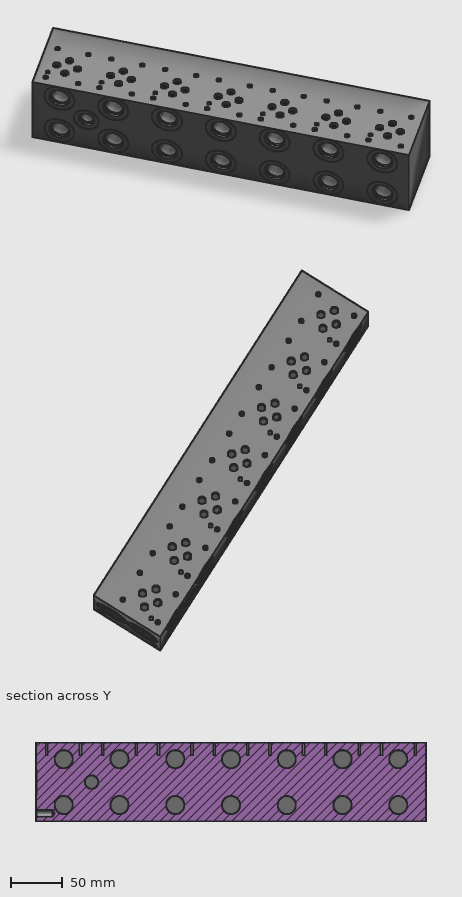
import cadquery as cq
import math

LENGTH = 377.82
WIDTH = 76.2
HEIGHT = 76.2

STATION_COUNT = 7
STATION_PITCH = 53.975
FIRST_STATION_X = (LENGTH - (STATION_COUNT - 1) * STATION_PITCH) / 2
STATION_XS = [FIRST_STATION_X + i * STATION_PITCH for i in range(STATION_COUNT)]

SPOTFACE_DEPTH = 0.76
SEAT_DEPTH = 2.2
SEAT_HALF_ANGLE = 12.0
WORK_PORT = {"spotface": 30.25, "seat": 20.65, "bore": 17.33, "depth": 18.3}
GAUGE_PORT = {"spotface": 25.02, "seat": 15.7, "bore": 12.76, "depth": 15.0}
SUPPLY_PORT = {"spotface": 34.42, "seat": 23.98, "bore": 20.26, "depth": 30.0}

WORK_PORT_EDGE = 15.875
GAUGE_X = FIRST_STATION_X + STATION_PITCH / 2
SUPPLY_EDGE = 20.32

MOUNT_EDGE = 7.94
MOUNT_HOLE = 6.41
MOUNT_MOUTH = 7.9
MOUNT_DEPTH = 16.0
DRILL_POINT_ANGLE = 118.0

FLOW_HOLE = 7.49
FLOW_HOLE_DEPTH = 7.7
FLOW_CENTRE_Y = 28.575
PATTERN_SHIFT_X = 0.15
REAR_FLOW_OFFSET_Y = 8.8
FRONT_FLOW_OFFSET_Y = 8.7
SIDE_FLOW_OFFSET_X = 10.4

BOLT_HOLE = 3.68
BOLT_MOUTH = 4.9
BOLT_DEPTH = 12.0
REAR_BOLT_OFFSET_Y = 21.5
BOLT_ROW_SPACING = 40.5
FRONT_BOLT_SPACING = 32.5
REAR_BOLT_SPACING = 31.0

PIN_HOLE = 4.01
PIN_DEPTH = 4.0
PIN_TO_BOLT_Y = 7.5


def revolved_cutter(profile):
    """Turn a (radius, height) outline about the Z axis."""
    return cq.Workplane("XZ").polyline(profile).close().revolve(360, (0, 0), (0, 1))


def drilled_hole(diameter, depth, mouth=None, point_angle=None):
    """Blind hole cutter going down from the origin, with an optional 45 degree mouth and drill point."""
    radius = diameter / 2
    profile = [(0, 0)]
    if mouth:
        mouth_radius = mouth / 2
        profile += [(mouth_radius, 0), (radius, radius - mouth_radius)]
    else:
        profile.append((radius, 0))
    profile.append((radius, -depth))
    point_length = radius / math.tan(math.radians(point_angle / 2)) if point_angle else 0
    profile.append((0, -depth - point_length))
    return revolved_cutter(profile)


def port_cutter(port):
    """Threaded port cutter going down from the origin."""
    bore_radius = port["bore"] / 2
    seat_radius = port["seat"] / 2
    spotface_radius = port["spotface"] / 2
    seat_bottom_radius = seat_radius - SEAT_DEPTH * math.tan(math.radians(SEAT_HALF_ANGLE))
    seat_bottom = SPOTFACE_DEPTH + SEAT_DEPTH
    lead_in_bottom = seat_bottom + seat_bottom_radius - bore_radius
    profile = [
        (0, 0),
        (spotface_radius, 0),
        (spotface_radius, -SPOTFACE_DEPTH),
        (seat_radius, -SPOTFACE_DEPTH),
        (seat_bottom_radius, -seat_bottom),
        (bore_radius, -lead_in_bottom),
        (bore_radius, -port["depth"]),
        (0, -port["depth"]),
    ]
    return revolved_cutter(profile)


def on_front(cutter, x, z):
    """Place a downward cutter so that it enters the -Y face."""
    return cutter.rotate((0, 0, 0), (1, 0, 0), 90).translate((x, 0, z))


def on_left_end(cutter, y, z):
    """Place a downward cutter so that it enters the -X face."""
    return cutter.rotate((0, 0, 0), (0, 1, 0), -90).translate((0, y, z))


def on_top(cutter, x, y):
    """Place a downward cutter so that it enters the top face."""
    return cutter.translate((x, y, HEIGHT))


def front_port_cutters():
    work = port_cutter(WORK_PORT)
    cutters = [on_front(port_cutter(GAUGE_PORT), GAUGE_X, HEIGHT / 2)]
    for x in STATION_XS:
        for z in (WORK_PORT_EDGE, HEIGHT - WORK_PORT_EDGE):
            cutters.append(on_front(work, x, z))
    return cutters


def left_end_cutters():
    supply = port_cutter(SUPPLY_PORT)
    mount = drilled_hole(MOUNT_HOLE, MOUNT_DEPTH, MOUNT_MOUTH, DRILL_POINT_ANGLE)
    cutters = []
    for y in (SUPPLY_EDGE, WIDTH - SUPPLY_EDGE):
        cutters.append(on_left_end(supply, y, HEIGHT / 2))
    for y in (MOUNT_EDGE, WIDTH - MOUNT_EDGE):
        cutters.append(on_left_end(mount, y, MOUNT_EDGE))
    return cutters


def station_cutters(x):
    flow = drilled_hole(FLOW_HOLE, FLOW_HOLE_DEPTH)
    bolt = drilled_hole(BOLT_HOLE, BOLT_DEPTH, BOLT_MOUTH)
    pin = drilled_hole(PIN_HOLE, PIN_DEPTH)
    rear_bolt_y = FLOW_CENTRE_Y + REAR_BOLT_OFFSET_Y
    front_bolt_y = rear_bolt_y - BOLT_ROW_SPACING
    front_left_x = x - FRONT_BOLT_SPACING / 2
    flow_x = x + PATTERN_SHIFT_X

    flow_points = [
        (flow_x - SIDE_FLOW_OFFSET_X, FLOW_CENTRE_Y),
        (flow_x + SIDE_FLOW_OFFSET_X, FLOW_CENTRE_Y),
        (flow_x, FLOW_CENTRE_Y + REAR_FLOW_OFFSET_Y),
        (flow_x, FLOW_CENTRE_Y - FRONT_FLOW_OFFSET_Y),
    ]
    bolt_points = [
        (flow_x - REAR_BOLT_SPACING / 2, rear_bolt_y),
        (flow_x + REAR_BOLT_SPACING / 2, rear_bolt_y),
        (front_left_x, front_bolt_y),
        (x + FRONT_BOLT_SPACING / 2, front_bolt_y),
    ]
    cutters = [on_top(flow, *point) for point in flow_points]
    cutters += [on_top(bolt, *point) for point in bolt_points]
    cutters.append(on_top(pin, front_left_x, front_bolt_y + PIN_TO_BOLT_Y))
    return cutters


def build_manifold():
    block = cq.Workplane("XY").box(LENGTH, WIDTH, HEIGHT, centered=False)
    cutters = front_port_cutters() + left_end_cutters()
    for x in STATION_XS:
        cutters += station_cutters(x)
    cut_solids = [cutter.val() for cutter in cutters]
    return cq.Workplane(block.val().cut(*cut_solids))


result = build_manifold()